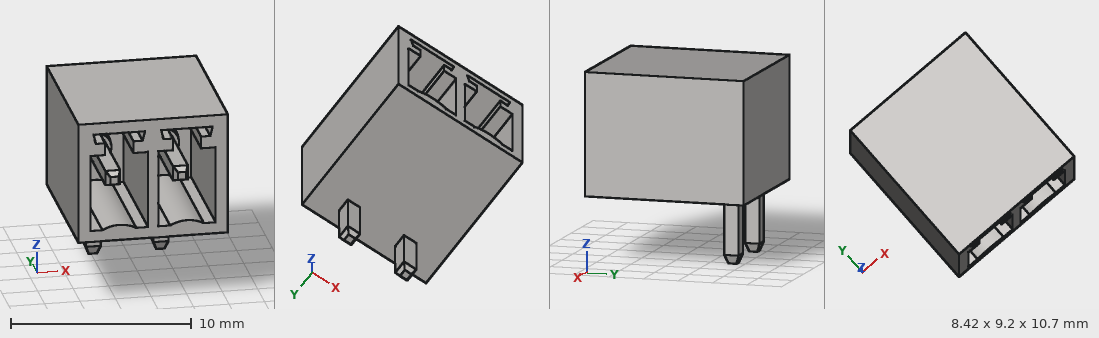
import cadquery as cq

width = 8.42
depth = 9.2
total_height = 10.7
height = 7.0
pin_drop = total_height - height

pitch = 3.81
contact_xs = (-pitch / 2, pitch / 2)

socket_width = 3.23
floor_z = 0.65
floor_crown_z = 0.9
floor_crown_width = 1.9
shoulder_z = height - 1.9
neck_width = 1.59
key_bottom_z = height - 1.21
key_bottom_width = 2.62
key_top_z = height - 0.66
key_top_width = 2.9
socket_depth = 7.06

pin_size = 0.83
tip_size = 0.46
tip_length = 0.5
contact_z = 2.99
leg_y = depth - 1.31
contact_tip_y = 1.4

collar_diameter = 1.77
collar_end_diameter = 1.67
collar_height = 0.5


def make_socket(x):
    """Keyed socket with a crowned floor, opening at the front face."""
    return (
        cq.Workplane("XZ", origin=(x, 0, 0))
        .moveTo(-socket_width / 2, floor_z)
        .lineTo(-floor_crown_width / 2, floor_z)
        .threePointArc((0, floor_crown_z), (floor_crown_width / 2, floor_z))
        .lineTo(socket_width / 2, floor_z)
        .lineTo(socket_width / 2, shoulder_z)
        .lineTo(neck_width / 2, shoulder_z)
        .lineTo(neck_width / 2, key_bottom_z)
        .lineTo(key_bottom_width / 2, key_bottom_z)
        .lineTo(key_top_width / 2, key_top_z)
        .lineTo(-key_top_width / 2, key_top_z)
        .lineTo(-key_bottom_width / 2, key_bottom_z)
        .lineTo(-neck_width / 2, key_bottom_z)
        .lineTo(-neck_width / 2, shoulder_z)
        .lineTo(-socket_width / 2, shoulder_z)
        .close()
        .extrude(-socket_depth)
    )


def make_square_pin(start, direction, length):
    """Square pin from start along direction, its length including the tapered tip."""
    plane = cq.Plane(origin=start, xDir=(1, 0, 0), normal=direction)
    shank_length = length - tip_length
    shank = cq.Workplane(plane).rect(pin_size, pin_size).extrude(shank_length)
    tip = (
        cq.Workplane(plane)
        .workplane(offset=shank_length)
        .rect(pin_size, pin_size)
        .workplane(offset=tip_length)
        .rect(tip_size, tip_size)
        .loft(ruled=True)
    )
    return shank.union(tip)


def make_pin(x):
    """Contact pointing to the front, joined inside the housing to a solder leg."""
    contact = make_square_pin((x, leg_y, contact_z), (0, -1, 0), leg_y - contact_tip_y)
    leg = make_square_pin((x, leg_y, contact_z), (0, 0, -1), contact_z + pin_drop)
    return contact.union(leg)


def make_collar(x):
    """Tapered collar standing on the rear wall of the socket."""
    return (
        cq.Workplane("XZ", origin=(x, socket_depth, contact_z))
        .circle(collar_diameter / 2)
        .workplane(offset=collar_height)
        .circle(collar_end_diameter / 2)
        .loft(ruled=True)
    )


result = cq.Workplane("XY").box(width, depth, height, centered=(True, False, False))
for contact_x in contact_xs:
    result = result.cut(make_socket(contact_x))
    result = result.union(make_collar(contact_x))
    result = result.union(make_pin(contact_x))